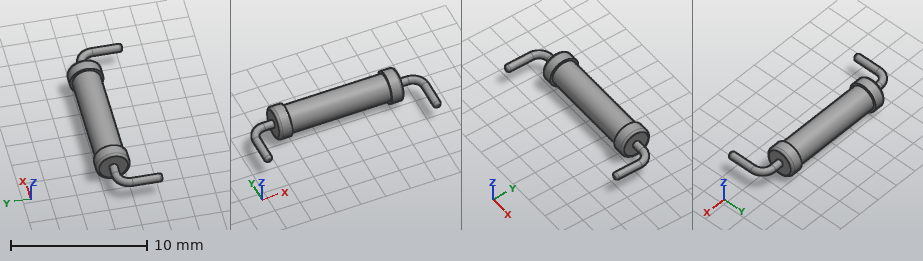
import cadquery as cq

overall_length = 14.2
body_length = 10.0
body_diameter = 2.16
cap_diameter = 2.54
cap_length = 1.0
cap_edge_fillet = 0.2
lead_diameter = 0.62
lead_reach = 3.27
bend_radius = 1.0
tip_fillet = 0.2

cap_outer_x = body_length / 2
lead_center_x = (overall_length - lead_diameter) / 2
bend_start_x = lead_center_x - bend_radius


def make_body():
    """Plain cylinder between the outer faces of the two caps."""
    return (
        cq.Workplane("YZ", origin=(-cap_outer_x, 0, 0))
        .circle(body_diameter / 2)
        .extrude(body_length)
    )


def make_cap():
    """End cap on the +X side with a rounded outer rim."""
    return (
        cq.Workplane("YZ", origin=(cap_outer_x - cap_length, 0, 0))
        .circle(cap_diameter / 2)
        .extrude(cap_length)
        .faces(">X")
        .edges()
        .fillet(cap_edge_fillet)
    )


def make_lead():
    """Lead on the +X side: straight out of the cap, then a quarter bend to -Y."""
    root_x = cap_outer_x - cap_length
    path = (
        cq.Workplane("XY")
        .moveTo(root_x, 0)
        .lineTo(bend_start_x, 0)
        .radiusArc((lead_center_x, -bend_radius), bend_radius)
        .lineTo(lead_center_x, -lead_reach)
    )
    return (
        cq.Workplane("YZ", origin=(root_x, 0, 0))
        .circle(lead_diameter / 2)
        .sweep(path)
        .faces("<Y")
        .edges()
        .fillet(tip_fillet)
    )


end_assembly = make_cap().union(make_lead())
result = make_body().union(end_assembly).union(end_assembly.mirror("YZ"))